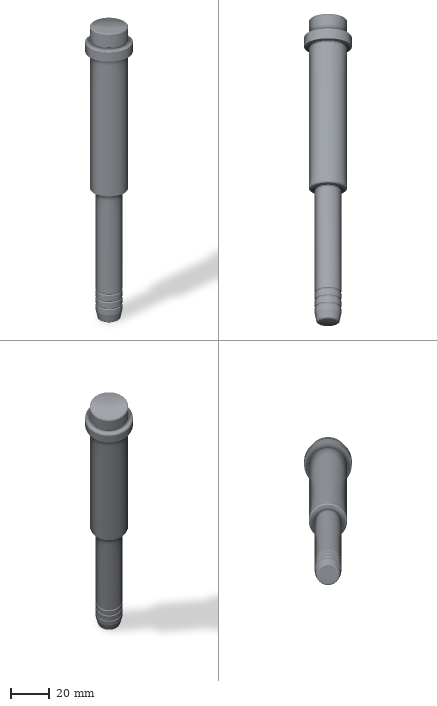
import cadquery as cq

total_length = 170.0
flange_diameter = 25.0
flange_radius = flange_diameter / 2
body_radius = 10.0
pin_radius = 7.0
tip_radius = 6.0

head_length = 9.0
flange_thickness = 6.0
body_length = 80.0
taper_length = 5.0

edge_chamfer = 0.5
undercut_width = 1.0
undercut_depth = 0.5

groove_count = 3
groove_width = 1.0
groove_depth = 0.3
groove_span = 8.3
groove_pitch = groove_span / (groove_count - 1)
lowest_groove_height = 8.3
groove_slope = groove_width / 3
undercut_slope = undercut_width / 3
groove_clearance = 0.2

flange_top = total_length - head_length
flange_bottom = flange_top - flange_thickness
body_bottom = flange_bottom - body_length


def cylinder(radius, bottom, top):
    return cq.Workplane("XY").workplane(offset=bottom).circle(radius).extrude(top - bottom)


def ring_groove(surface_radius, depth, bottom, width, lower_slope=0, upper_slope=0):
    """Groove cutter with a flat floor; each slope is the height its wall takes to reach the floor."""
    top = bottom + width
    floor_radius = surface_radius - depth
    section = cq.Workplane("XZ").polyline([
        (surface_radius + groove_clearance, bottom),
        (surface_radius, bottom),
        (floor_radius, bottom + lower_slope),
        (floor_radius, top - upper_slope),
        (surface_radius, top),
        (surface_radius + groove_clearance, top),
    ])
    return section.close().revolve(360, (0, 0, 0), (0, 1, 0))


def make_pin():
    tip = (
        cq.Workplane("XY")
        .circle(tip_radius)
        .workplane(offset=taper_length)
        .circle(pin_radius)
        .loft(ruled=True)
        .faces("<Z")
        .chamfer(edge_chamfer)
    )
    pin = tip.union(cylinder(pin_radius, taper_length, body_bottom))
    for index in range(groove_count):
        bottom = lowest_groove_height + index * groove_pitch - groove_width / 2
        groove = ring_groove(pin_radius, groove_depth, bottom, groove_width, groove_slope, groove_slope)
        pin = pin.cut(groove)
    relief_bottom = body_bottom - undercut_width
    return pin.cut(ring_groove(pin_radius, undercut_depth, relief_bottom, undercut_width))


def make_body():
    body = cylinder(body_radius, body_bottom, total_length).faces("<Z or >Z").chamfer(edge_chamfer)
    upper_relief = ring_groove(
        body_radius, undercut_depth, flange_top, undercut_width, upper_slope=undercut_slope
    )
    lower_relief = ring_groove(
        body_radius, undercut_depth, flange_bottom - undercut_width, undercut_width, undercut_slope
    )
    return body.cut(upper_relief).cut(lower_relief)


def make_flange():
    flange = cylinder(flange_radius, flange_bottom, flange_top)
    return flange.faces(">Z").chamfer(edge_chamfer)


result = make_body().union(make_flange()).union(make_pin())